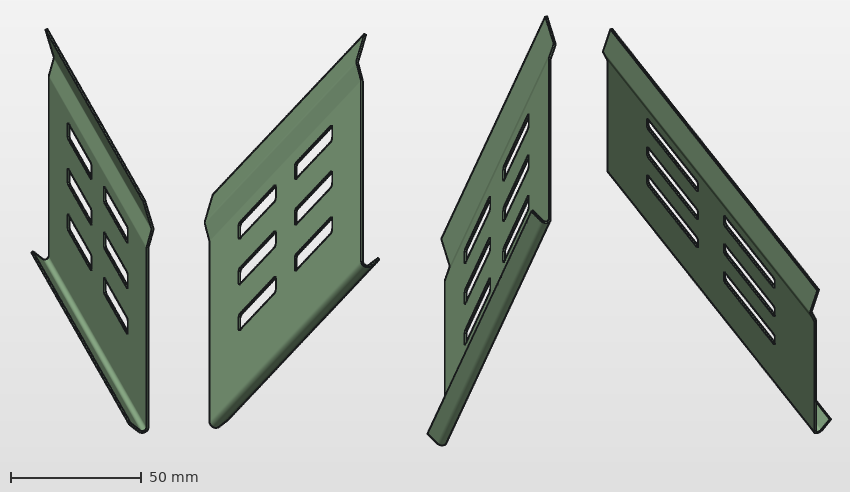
import cadquery as cq
import math

width = 143.0
depth = 9.7
height = 101.1
thickness = 0.9
inner_bend_radius = 1.5
outer_bend_radius = inner_bend_radius + thickness

lip_angle = math.radians(15)
kink_z = 88.2
kink_projection = 2.0

hook_angle = math.radians(45)

slot_length = 35.3
slot_height = 7.0
slot_corner_radius = 1.5
slot_columns = 2
slot_rows = 3
slot_pitch_x = 53.0
slot_pitch_z = 19.9
top_slot_z = 71.4

front_y = -thickness
hook_tip_y = kink_projection - depth
kink_corner_y = kink_projection + outer_bend_radius * (1 / math.cos(lip_angle) - 1)
lip_bend_z = kink_z - kink_corner_y / math.tan(lip_angle)
front_bend_shift = thickness * math.tan(lip_angle / 2)
front_kink_y = kink_corner_y - thickness / math.cos(lip_angle)
lip_top_back_y = kink_corner_y - (height - kink_z) * math.tan(lip_angle)
lip_top_front = (
    lip_top_back_y - thickness * math.cos(lip_angle),
    height - thickness * math.sin(lip_angle),
)


def hook_point(radius, angle):
    """Point on the hook bend, turned by angle from straight down towards -Y."""
    return (
        -outer_bend_radius - radius * math.sin(angle),
        outer_bend_radius - radius * math.cos(angle),
    )


def make_sheet():
    mid_angle = (hook_angle - math.pi / 2) / 2
    outer_end = hook_point(outer_bend_radius, hook_angle)
    inner_end = hook_point(inner_bend_radius, hook_angle)
    outer_tip = (hook_tip_y, outer_end[1] + (outer_end[0] - hook_tip_y) * math.tan(hook_angle))
    inner_tip = (
        outer_tip[0] + thickness * math.sin(hook_angle),
        outer_tip[1] + thickness * math.cos(hook_angle),
    )
    profile = (
        cq.Workplane("YZ")
        .moveTo(0, outer_bend_radius)
        .lineTo(0, lip_bend_z)
        .lineTo(kink_corner_y, kink_z)
        .lineTo(lip_top_back_y, height)
        .lineTo(*lip_top_front)
        .lineTo(front_kink_y, kink_z)
        .lineTo(front_y, lip_bend_z + front_bend_shift)
        .lineTo(front_y, outer_bend_radius)
        .threePointArc(hook_point(inner_bend_radius, mid_angle), inner_end)
        .lineTo(*inner_tip)
        .lineTo(*outer_tip)
        .lineTo(*outer_end)
        .threePointArc(hook_point(outer_bend_radius, mid_angle), (0, outer_bend_radius))
        .close()
    )
    sheet = profile.extrude(width / 2, both=True)
    bends = [
        (0, lip_bend_z, inner_bend_radius),
        (front_y, lip_bend_z + front_bend_shift, outer_bend_radius),
        (kink_corner_y, kink_z, outer_bend_radius),
        (front_kink_y, kink_z, inner_bend_radius),
    ]
    for y, z, radius in bends:
        sheet = sheet.edges(cq.NearestToPointSelector((0, y, z))).fillet(radius)
    return sheet


def make_slots():
    middle_slot_z = top_slot_z - slot_pitch_z * (slot_rows - 1) / 2
    return (
        cq.Workplane("XZ")
        .center(0, middle_slot_z)
        .rarray(slot_pitch_x, slot_pitch_z, slot_columns, slot_rows)
        .rect(slot_length, slot_height)
        .extrude(thickness)
        .edges("|Y")
        .fillet(slot_corner_radius)
    )


result = make_sheet().cut(make_slots())